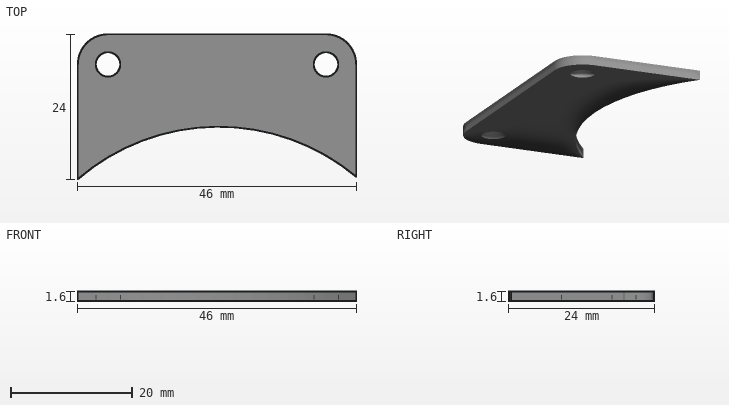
import cadquery as cq
import math

width = 46.0
left_side_length = 23.98
thickness = 1.6
corner_radius = 5.0

hole_diameter = 4.0
hole_spacing = width - 2 * corner_radius

relief_radius = 35.5
relief_offset_x = 0.24

half_width = width / 2
top_y = corner_radius
left_tip_y = top_y - left_side_length
relief_center_y = left_tip_y - math.sqrt(relief_radius**2 - (half_width + relief_offset_x) ** 2)


def relief_y(x):
    """Height of the relief arc at a given X."""
    return relief_center_y + math.sqrt(relief_radius**2 - (x - relief_offset_x) ** 2)


def make_plate():
    """Plate with two rounded upper corners and an arched lower edge."""
    outline = (
        cq.Workplane("XY")
        .moveTo(-half_width, left_tip_y)
        .threePointArc(
            (relief_offset_x, relief_center_y + relief_radius),
            (half_width, relief_y(half_width)),
        )
        .lineTo(half_width, top_y)
        .lineTo(-half_width, top_y)
        .close()
    )
    plate = outline.extrude(thickness)
    return plate.edges("|Z and >Y").fillet(corner_radius)


def cut_mounting_holes(plate):
    """Two through holes on the line Y = 0."""
    cutters = (
        cq.Workplane("XY")
        .pushPoints([(-hole_spacing / 2, 0), (hole_spacing / 2, 0)])
        .circle(hole_diameter / 2)
        .extrude(thickness)
    )
    return plate.cut(cutters)


result = cut_mounting_holes(make_plate())